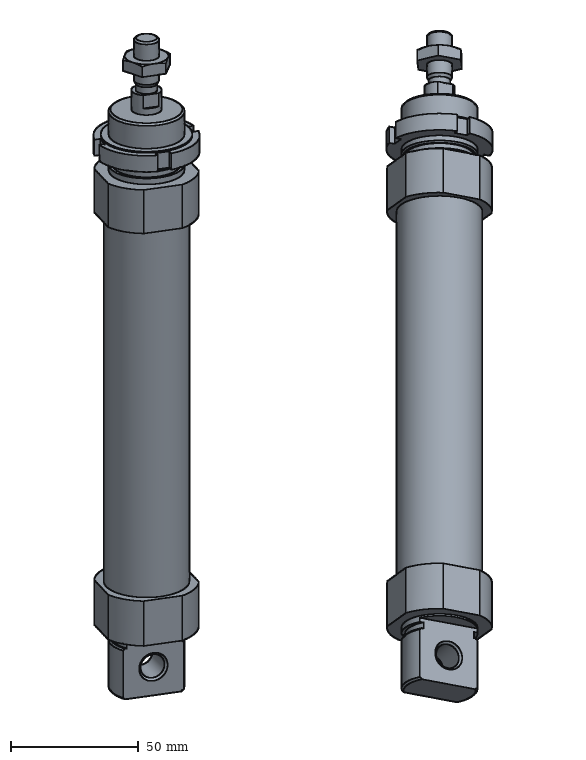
import cadquery as cq
import math

total_height = 276.5
lower_cap_bottom = 26.5
lower_cap_top = 45.5
upper_cap_bottom = 201.8
upper_cap_top = 220.5
collar_top = 246.0
mount_nut_bottom = 228.0
mount_nut_top = 235.5
rod_flat_bottom = 248.8
rod_shoulder = 254.5
rod_thread_bottom = 258.5
rod_nut_bottom = 263.8
rod_nut_top = 268.8

tube_diameter = 33.7
cap_diameter = 41.2
cap_across_flats = 38.0
collar_diameter = 30.0
collar_chamfer = 0.8
land_start_diameter = 28.5
groove_diameter = 27.0
groove_width = 2.5
land_chamfer = (collar_diameter - land_start_diameter) / 2
flange_height = 2.5
eye_thickness = 15.8
eye_shoulder_gap = 0.8
eye_hole_diameter = 10.0
eye_hole_mouth_diameter = 12.0
eye_hole_height = 12.2

rod_diameter = 12.0
rod_across_flats = 10.0
thread_diameter = 10.0
thread_neck_diameter = 8.5
thread_taper_height = 1.5
thread_chamfer = 0.8

rod_nut_across_flats = 17.1
rod_nut_chamfer_height = 0.5
mount_nut_diameter = 41.8
mount_nut_face_diameter = 36.0
mount_nut_face_height = 0.5
mount_nut_slot_width = 5.5
mount_nut_slot_depth = 2.5
mount_nut_slots = 4


def disc(diameter, bottom, top):
    """Cylinder about the Z axis between two heights."""
    return cq.Workplane("XY").workplane(offset=bottom).circle(diameter / 2).extrude(top - bottom)


def flatted_disc(diameter, x_size, y_size, bottom, top):
    """Cylinder about the Z axis trimmed by flats across X and across Y."""
    trim = cq.Workplane("XY").workplane(offset=bottom).rect(x_size, y_size).extrude(top - bottom)
    return disc(diameter, bottom, top).intersect(trim)


def end_cap(bottom, top):
    """Round cap with four wrench flats."""
    return flatted_disc(cap_diameter, cap_across_flats, cap_across_flats, bottom, top)


def spigot(length, end_chamfer):
    """Stub rising from Z = 0: a flange, a groove, then a long land with a chamfered far end."""
    land_start = flange_height + groove_width
    stub = disc(groove_diameter, 0, land_start + land_chamfer)
    stub = stub.union(disc(collar_diameter, 0, flange_height))
    land = disc(collar_diameter, land_start, length)
    land = land.faces("<Z").chamfer(land_chamfer).faces(">Z").chamfer(end_chamfer)
    return stub.union(land)


def eye_hole():
    """Cross hole along X through the clevis eye, countersunk on both sides."""
    side = eye_thickness / 2
    bore_radius = eye_hole_diameter / 2
    mouth_radius = eye_hole_mouth_diameter / 2
    bore_end = side - (mouth_radius - bore_radius)
    profile = [
        (-side, 0),
        (-side, mouth_radius),
        (-bore_end, bore_radius),
        (bore_end, bore_radius),
        (side, mouth_radius),
        (side, 0),
    ]
    hole = cq.Workplane("XY").polyline(profile).close().revolve(360, (0, 0, 0), (1, 0, 0))
    return hole.translate((0, 0, eye_hole_height))


def clevis_eye():
    """Lower spigot flattened across X, with a full round shoulder left under the cap."""
    eye = spigot(lower_cap_bottom, collar_chamfer).mirror("XY").translate((0, 0, lower_cap_bottom))
    flat_top = lower_cap_bottom - eye_shoulder_gap
    flattened = eye.intersect(cq.Workplane("XY").rect(eye_thickness, collar_diameter).extrude(flat_top))
    shoulder = disc(collar_diameter, flat_top, lower_cap_bottom)
    return flattened.union(shoulder).cut(eye_hole())


def make_housing():
    """Tube with its two end caps, the mounting collar and the clevis eye."""
    collar = spigot(collar_top - upper_cap_top, collar_chamfer).translate((0, 0, upper_cap_top))
    housing = disc(tube_diameter, lower_cap_top, upper_cap_bottom)
    housing = housing.union(end_cap(lower_cap_bottom, lower_cap_top))
    housing = housing.union(end_cap(upper_cap_bottom, upper_cap_top))
    return housing.union(collar).union(clevis_eye())


def make_rod():
    """Piston rod with wrench flats, a thread relief and a threaded end."""
    rod = disc(rod_diameter, collar_top, rod_flat_bottom)
    flats = flatted_disc(rod_diameter, rod_across_flats, rod_diameter, rod_flat_bottom, rod_shoulder)
    taper_bottom = rod_thread_bottom - thread_taper_height
    relief = disc(thread_neck_diameter, rod_shoulder, taper_bottom)
    taper = (
        cq.Workplane("XY")
        .workplane(offset=taper_bottom)
        .circle(thread_neck_diameter / 2)
        .workplane(offset=thread_taper_height)
        .circle(thread_diameter / 2)
        .loft()
    )
    thread = disc(thread_diameter, rod_thread_bottom, total_height).faces(">Z").chamfer(thread_chamfer)
    return rod.union(flats).union(relief).union(taper).union(thread)


def make_rod_nut():
    """Hexagon nut on the rod thread, with corners along Y bevelled on the upper face."""
    height = rod_nut_top - rod_nut_bottom
    across_corners = rod_nut_across_flats / math.cos(math.pi / 6)
    bevel_width = (across_corners - rod_nut_across_flats) / 2
    blank = cq.Workplane("XY").workplane(offset=rod_nut_bottom).polygon(6, across_corners).extrude(height)
    blank = blank.rotate((0, 0, 0), (0, 0, 1), 30)
    bevel = disc(across_corners, rod_nut_bottom, rod_nut_top)
    bevel = bevel.faces(">Z").chamfer(rod_nut_chamfer_height, bevel_width)
    return blank.intersect(bevel).cut(disc(thread_diameter, rod_nut_bottom, rod_nut_top))


def make_mount_nut():
    """Round nut on the collar with a raised upper face and four spanner slots in its rim."""
    nut = disc(mount_nut_diameter, mount_nut_bottom, mount_nut_top - mount_nut_face_height)
    nut = nut.union(disc(mount_nut_face_diameter, mount_nut_bottom, mount_nut_top))
    nut = nut.cut(disc(collar_diameter, mount_nut_bottom, mount_nut_top))
    slot = (
        cq.Workplane("XY")
        .workplane(offset=mount_nut_bottom)
        .center(mount_nut_diameter / 2, 0)
        .rect(2 * mount_nut_slot_depth, mount_nut_slot_width)
        .extrude(mount_nut_top - mount_nut_bottom)
    )
    for index in range(mount_nut_slots):
        nut = nut.cut(slot.rotate((0, 0, 0), (0, 0, 1), index * 360 / mount_nut_slots))
    return nut


housing = make_housing()
rod = make_rod()
rod_nut = make_rod_nut()
mount_nut = make_mount_nut()

result = cq.Compound.makeCompound([housing.val(), rod.val(), rod_nut.val(), mount_nut.val()])